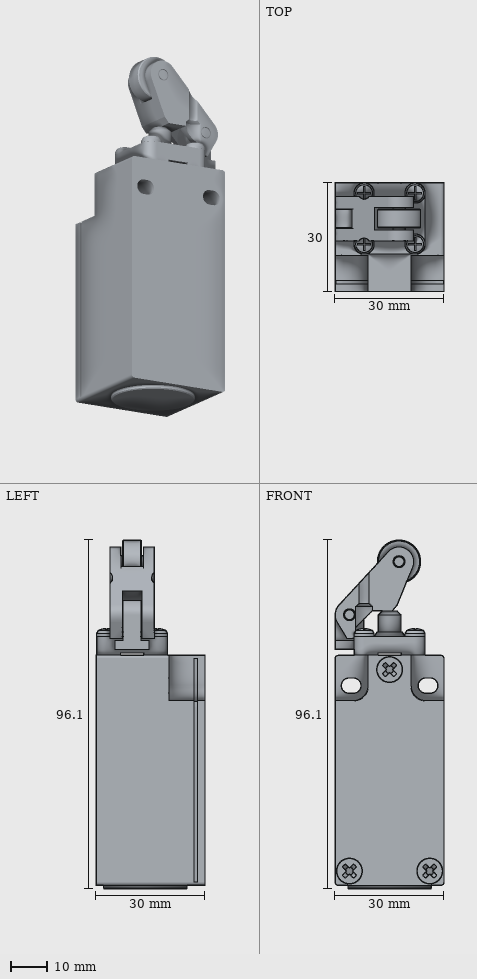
import cadquery as cq
import math

body_width = 30.0
body_bottom = 1.1
body_top = 64.4
edge_radius = 0.9
half_width = body_width / 2

notch_side = 6.0
notch_back = -5.0
notch_floor = 51.9
notch_radius = 4.0
slot_x = 10.6
slot_z = 56.0
slot_length = 5.4
slot_width = 4.1

cover_thickness = 2.1
joint_width = 1.0
joint_depth = 0.2

cover_screw_radius = 3.6
cover_screw_ring = 0.1
cover_screw_depth = 0.3
cover_screws = [(0, 60.4), (-11.05, 5.0), (11.05, 5.0)]
cover_cross_radius = 2.2
cover_cross_width = 1.2
cover_cross_floor_radius = 1.1
cover_cross_depth = 1.2

plug_radius = 11.5
plug_y = 1.4
plug_chamfer = 0.3

head_y = 5.1
head_width = 19.5
head_top = 69.6
head_screw_offset = 7.0
channel_height = 0.6
head_screw_radius = 2.8
head_screw_side = 0.8
head_screw_rim_radius = 2.3
head_screw_rim_height = 1.6
head_screw_height = 2.2
head_cross_length = 3.65
head_cross_width = 0.4
head_cross_depth = 0.8

plunger_radius = 3.2
plunger_chamfer = 1.2
collar_radius = 4.2
collar_height = 1.25
collar_top_radius = 3.5
contact_z = 76.6

lever_thickness = 12.2
pivot_x, pivot_z = -11.05, 75.5
pivot_end_radius = 3.9
roller_x, roller_z = 2.6, 90.1
roller_end_radius = 4.0
roller_radius = 6.0
roller_width = 5.3
roller_chamfer = 0.3
roller_slot_width = 6.15
roller_slot_x = -4.1
roller_clearance = 0.5
pin_radius = 1.6
pin_ring = 0.3
lever_bottom = 69.0
lever_heel_x = -11.7
lever_toe_x = -9.4
lever_toe_z = 72.0
lever_pad_start = -4.8
lever_pad_end = 0.8
lever_nose_x, lever_nose_z = 2.1, 78.2

access_radius = 1.6
access_large_radius = 2.5
access_large_top = 77.7

bracket_thickness = 4.9
bracket_slot_width = 5.4
bracket_slot_radius = 6.5
foot_width = 9.4
foot_bottom = 66.0
foot_top = 68.4


def box(x0, x1, y0, y1, z0, z1):
    """Box between two opposite corners."""
    return cq.Workplane("XY").box(x1 - x0, y1 - y0, z1 - z0, centered=False).translate((x0, y0, z0))


def across(width, middle_y):
    """XZ sketch plane placed so that extruding by width is centred on middle_y."""
    return cq.Workplane("XZ", origin=(0, middle_y + width / 2, 0))


def post(x, y, z0, z1, radius):
    """Vertical cylinder from z0 to z1."""
    return cq.Workplane("XY", origin=(x, y, z0)).circle(radius).extrude(z1 - z0)


def cone(start_radius, end_radius, height, start, direction):
    """Truncated cone running from start along direction."""
    return cq.Workplane(cq.Solid.makeCone(start_radius, end_radius, height, start, direction))


def cross_pin(x, z, radius, width):
    """Cylinder along Y, centred on the lever."""
    return across(width, head_y).center(x, z).circle(radius).extrude(width)


def tangent_point(center, radius, start, side):
    """Point where the line from start touches a circle; side (+1 or -1) picks one of the two."""
    dx, dz = start[0] - center[0], start[1] - center[1]
    angle = math.atan2(dz, dx) + side * math.acos(radius / math.hypot(dx, dz))
    return point_on(center, radius, angle)


def point_on(center, radius, angle):
    return (center[0] + radius * math.cos(angle), center[1] + radius * math.sin(angle))


def angle_of(center, point):
    return math.atan2(point[1] - center[1], point[0] - center[0])


def notched_outline():
    """Front outline of the cover: a rectangle with both upper corners notched."""
    outline = cq.Workplane("XZ").moveTo(-half_width, body_bottom).lineTo(half_width, body_bottom)
    outline = outline.lineTo(half_width, notch_floor).lineTo(notch_side + notch_radius, notch_floor)
    outline = outline.radiusArc((notch_side, notch_floor + notch_radius), notch_radius)
    outline = outline.lineTo(notch_side, body_top).lineTo(-notch_side, body_top)
    outline = outline.lineTo(-notch_side, notch_floor + notch_radius)
    outline = outline.radiusArc((-notch_side - notch_radius, notch_floor), notch_radius)
    return outline.lineTo(-half_width, notch_floor).close()


def make_body():
    rear = box(-half_width, half_width, notch_back, half_width, body_bottom, body_top)
    rear = rear.edges("|Y").fillet(edge_radius)
    front = notched_outline().extrude(half_width + notch_back).translate((0, notch_back, 0))
    front = front.edges("|Y and <Z").fillet(edge_radius)
    slots = (
        cq.Workplane("XZ", origin=(0, half_width, 0))
        .pushPoints([(-slot_x, slot_z), (slot_x, slot_z)])
        .slot2D(slot_length, slot_width)
        .extrude(body_width)
    )
    return rear.union(front).cut(slots)


def make_joint_groove():
    front_y = -half_width + cover_thickness
    core = notched_outline().offset2D(-joint_depth).extrude(-joint_width).translate((0, front_y, 0))
    band = box(-half_width, half_width, front_y, front_y + joint_width,
               body_bottom + edge_radius, body_top - edge_radius)
    return band.cut(core)


def make_cover_screw_recess(x, z):
    """Ring and diagonal cross recess, with sloping arm ends, of one flush cover screw."""
    face = cq.Workplane("XZ", origin=(x, -half_width, z))
    ring = face.circle(cover_screw_radius).circle(cover_screw_radius - cover_screw_ring)
    ring = ring.extrude(-cover_screw_depth)
    cross = face.rect(2 * cover_cross_radius, cover_cross_width).extrude(-cover_cross_depth)
    cross = cross.union(face.rect(cover_cross_width, 2 * cover_cross_radius).extrude(-cover_cross_depth))
    cross = cross.rotate((x, 0, z), (x, 1, z), 45)
    start = cq.Vector(x, -half_width, z)
    cross = cross.intersect(cone(cover_cross_radius, cover_cross_floor_radius, cover_cross_depth,
                                 start, cq.Vector(0, 1, 0)))
    return cross.union(ring)


def make_plug():
    return post(0, plug_y, 0, body_bottom, plug_radius).faces("<Z").chamfer(plug_chamfer)


def make_head_screw(x, y):
    """Domed screw with a cross recess."""
    dome_height = head_screw_height - head_screw_rim_height
    dome_radius = (head_screw_rim_radius**2 + dome_height**2) / (2 * dome_height)
    screw = (
        cq.Workplane("XZ")
        .lineTo(head_screw_radius, 0)
        .lineTo(head_screw_radius, head_screw_side)
        .lineTo(head_screw_rim_radius, head_screw_rim_height)
        .radiusArc((0, head_screw_height), -dome_radius)
        .close()
        .revolve(360, (0, 0, 0), (0, 1, 0))
    )
    top = cq.Workplane("XY", origin=(0, 0, head_screw_height))
    for length, width in ((head_cross_length, head_cross_width), (head_cross_width, head_cross_length)):
        screw = screw.cut(top.rect(length, width).extrude(-head_cross_depth))
    return screw.translate((x, y, head_top))


def make_head():
    block = cq.Workplane("XY", origin=(0, head_y, body_top)).rect(head_width, head_width)
    head = block.extrude(head_top - body_top).edges("|Z").fillet(head_screw_radius)
    channel_width = 2 * plunger_radius
    for length, width in ((head_width, channel_width), (channel_width, head_width)):
        channel = cq.Workplane("XY", origin=(0, head_y, body_top)).rect(length, width)
        head = head.cut(channel.extrude(channel_height))
    for x in (-head_screw_offset, head_screw_offset):
        for y in (head_y - head_screw_offset, head_y + head_screw_offset):
            head = head.union(make_head_screw(x, y))
    return head


def make_plunger():
    collar = cone(collar_radius, collar_top_radius, collar_height,
                  cq.Vector(0, head_y, head_top), cq.Vector(0, 0, 1))
    stem = post(0, head_y, head_top, contact_z, plunger_radius)
    return collar.union(stem.faces(">Z").chamfer(plunger_chamfer))


def lever_outline():
    pivot = (pivot_x, pivot_z)
    tip = (roller_x, roller_z)
    span = math.hypot(roller_x - pivot_x, roller_z - pivot_z)
    tilt = math.asin((roller_end_radius - pivot_end_radius) / span)
    upper_angle = angle_of(pivot, tip) + math.pi / 2 + tilt
    heel = (lever_heel_x, lever_bottom)
    nose = (lever_nose_x, lever_nose_z)
    heel_tangent = tangent_point(pivot, pivot_end_radius, heel, -1)
    nose_tangent = tangent_point(tip, roller_end_radius, nose, 1)
    tip_middle = point_on(tip, roller_end_radius, (upper_angle + angle_of(tip, nose_tangent)) / 2)
    return (
        across(lever_thickness, head_y)
        .moveTo(*heel)
        .lineTo(lever_toe_x, lever_bottom)
        .lineTo(lever_toe_x, lever_toe_z)
        .lineTo(lever_pad_start, contact_z)
        .lineTo(lever_pad_end, contact_z)
        .lineTo(*nose)
        .lineTo(*nose_tangent)
        .threePointArc(tip_middle, point_on(tip, roller_end_radius, upper_angle))
        .lineTo(*point_on(pivot, pivot_end_radius, upper_angle))
        .threePointArc(point_on(pivot, pivot_end_radius, math.pi), heel_tangent)
        .close()
    )


def make_access_bore(y):
    """Stepped vertical bore above a head screw, with a conical shoulder."""
    x = -head_screw_offset
    large = post(x, y, foot_bottom, access_large_top, access_large_radius)
    shoulder = cone(access_large_radius, access_radius, access_large_radius - access_radius,
                    cq.Vector(x, y, access_large_top), cq.Vector(0, 0, 1))
    small = post(x, y, access_large_top, roller_z + roller_radius, access_radius)
    return large.union(shoulder).union(small)


def make_lever():
    lever = lever_outline().extrude(lever_thickness)
    slot_floor = roller_z - roller_radius - roller_clearance
    lever = lever.cut(box(roller_slot_x, half_width,
                          head_y - roller_slot_width / 2, head_y + roller_slot_width / 2,
                          slot_floor, roller_z + roller_radius))
    lever = lever.cut(cross_pin(pivot_x, pivot_z, bracket_slot_radius, bracket_slot_width))
    for side in (-1, 1):
        lever = lever.cut(make_access_bore(head_y + side * head_screw_offset))
    for x, z in ((pivot_x, pivot_z), (roller_x, roller_z)):
        lever = lever.union(cross_pin(x, z, pin_radius, lever_thickness))
        ring = cross_pin(x, z, pin_radius, lever_thickness)
        ring = ring.cut(cross_pin(x, z, pin_radius - pin_ring, lever_thickness))
        lever = lever.cut(ring.cut(cross_pin(x, z, pin_radius, lever_thickness - 2 * pin_ring)))
    return lever


def make_roller():
    roller = cross_pin(roller_x, roller_z, roller_radius, roller_width)
    return roller.faces("<Y or >Y").chamfer(roller_chamfer)


def make_bracket():
    half = bracket_thickness / 2
    eye = cross_pin(pivot_x, pivot_z, pivot_end_radius, bracket_thickness)
    web = box(pivot_x - pivot_end_radius, pivot_x + pivot_end_radius,
              head_y - half, head_y + half, foot_bottom, pivot_z)
    foot = box(pivot_x - pivot_end_radius, pivot_x + pivot_end_radius,
               head_y - foot_width / 2, head_y + foot_width / 2, foot_bottom, foot_top)
    return eye.union(web).union(foot)


result = make_body().cut(make_joint_groove())
for screw_x, screw_z in cover_screws:
    result = result.cut(make_cover_screw_recess(screw_x, screw_z))
for piece in (make_plug(), make_head(), make_plunger(), make_bracket(), make_lever(), make_roller()):
    result = result.union(piece)
result = cq.Workplane(result.solids().val())